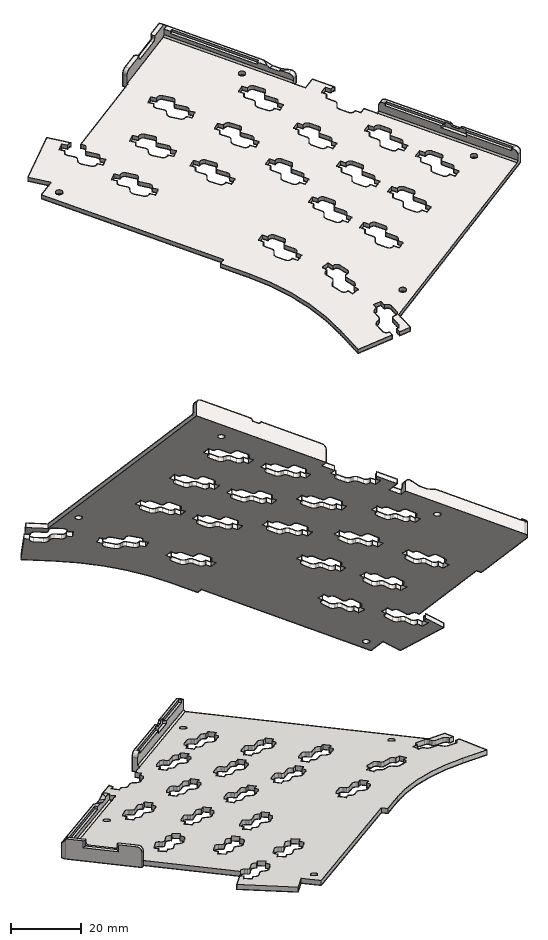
import cadquery as cq
import math

plate_thickness = 1.5
plate_left, plate_right = 9.9, 122.9
plate_front, plate_back = 15.7, 90.3

rows_per_column = 3
row_span = 34.0
row_pitch = row_span / (rows_per_column - 1)
column_pitch = 18.0
pad_margin = 0.27
key_width = column_pitch + 2 * pad_margin
key_depth = row_pitch + 2 * pad_margin
socket_shift = (2.6, 5.0)

outer_column = (29.6, 26.4, 10)
column_fronts = [
    outer_column,
    (46.2, 41.5, 4),
    (64.4, 51.7, 0),
    (82.6, 43.2, 0),
    (100.5, 40.5, 0),
]
center_column = 2
pinky_stagger = 7.5

fan_x, fan_y = 77.5, -54.4
fan_edge_radius = 68.1
fan_step = 15
thumb_keys = 3

screw_diameter = 2.0
screw_holes = [(36.5, 87.3), (110.7, 87.3), (119.1, 28.1), (13.9, 19.0)]

wall_outer_y, wall_inner_y = 92.5, 90.9
wall_outer_x, wall_inner_x = 8.2, 9.6
left_wall_height = 6.2
left_wall_front = 68.3
back_left_height, back_left_end = 4.2, 51.1
back_right_height, back_right_start = 5.8, 78.3
wall_corner_radius = 1.7
wall_end_radius = 1.5
lip_step_size = 0.83
foot_chamfer = wall_inner_y - plate_back
overlap = 0.6


def turned(origin, degrees, offset):
    """Point at `offset` from `origin`, in axes turned by `degrees`."""
    c = math.cos(math.radians(degrees))
    s = math.sin(math.radians(degrees))
    return (origin[0] + c * offset[0] - s * offset[1], origin[1] + s * offset[0] + c * offset[1])


def rounded_outline(corners):
    """Closed wire through (x, y, corner radius) corners; radius 0 stays sharp."""
    wire = None
    for i, (x, y, radius) in enumerate(corners):
        here = cq.Vector(x, y)
        to_last = (cq.Vector(*corners[i - 1][:2]) - here).normalized()
        to_next = (cq.Vector(*corners[(i + 1) % len(corners)][:2]) - here).normalized()
        half_angle = to_last.getAngle(to_next) / 2
        reach = radius / math.tan(half_angle)
        start, end = here + to_last * reach, here + to_next * reach
        wire = wire.lineTo(start.x, start.y) if wire else cq.Workplane("XY").moveTo(start.x, start.y)
        if radius:
            bisector = (to_last + to_next).normalized()
            middle = here + bisector * (radius / math.sin(half_angle) - radius)
            wire = wire.threePointArc((middle.x, middle.y), (end.x, end.y))
    return wire.close()


def block(x0, x1, y0, y1, z0, z1):
    return cq.Workplane("XY").box(x1 - x0, y1 - y0, z1 - z0, centered=False).translate((x0, y0, z0))


def key_corner(key, side, end):
    """Corner of a key's outline; `side` and `end` are -1 or 1 along its width and depth."""
    x, y, lean = key
    return turned((x, y), lean, (side * key_width / 2, end * key_depth / 2))


columns = []
for x, y, lean in column_fronts:
    column = [(*turned((x, y), lean, (0, row * row_pitch)), lean) for row in range(rows_per_column)]
    columns.append(column)

outer_x, outer_y, outer_lean = outer_column
pinky_key = (*turned((outer_x, outer_y), outer_lean, (-column_pitch, pinky_stagger)), outer_lean)
back_key = columns[center_column][-1]

fan_radius = fan_edge_radius + key_depth / 2
thumbs = []
for i in range(thumb_keys):
    lean = -i * fan_step
    thumbs.append((*turned((fan_x, fan_y), lean, (0, fan_radius)), lean))

all_keys = [key for column in columns for key in column] + [pinky_key] + thumbs


def pinky_pad():
    corners = [key_corner(pinky_key, *c) for c in ((-1, -1), (1, -1), (1, 1), (-1, 1))]
    return cq.Workplane("XY").polyline(corners).close().extrude(plate_thickness)


def back_pad():
    """Left half of the back key; the socket opening takes up the rest of its edge."""
    middle, front, _ = back_key
    left, back = key_corner(back_key, -1, 1)
    return block(left, middle, front, back, 0, plate_thickness)


def thumb_pad():
    """Thumb fan with its concave front edge."""
    first, last = thumbs[0], thumbs[-1]
    fan = (fan_x, fan_y)
    arc_middle = turned(fan, last[2] / 2, (0, fan_edge_radius))
    arc_end = turned(fan, last[2], (0, fan_edge_radius))
    return (
        cq.Workplane("XY")
        .moveTo(*key_corner(first, -1, 1))
        .lineTo(*key_corner(first, -1, -1))
        .lineTo(fan_x, fan_y + fan_edge_radius)
        .threePointArc(arc_middle, arc_end)
        .lineTo(*key_corner(last, 1, -1))
        .lineTo(*key_corner(last, 1, 1))
        .lineTo(*key_corner(last, -1, 1))
        .close()
        .extrude(plate_thickness)
    )


def socket_opening():
    """Two offset lobes with a contact tab at each end, around the socket centre."""
    lobe_end, tab_end = 5.1, 6.9
    corners = [
        (-tab_end, 0.0, 0), (-lobe_end, 0.0, 0),
        (-lobe_end, -1.5, 1.3), (-1.0, -1.5, 1.2),
        (0.0, -3.8, 1.5), (lobe_end, -3.8, 1.3),
        (lobe_end, -2.3, 0), (tab_end, -2.3, 0),
        (tab_end, 0.1, 0), (lobe_end, 0.1, 0),
        (lobe_end, 1.5, 1.3), (0.3, 1.5, 0.6),
        (0.0, 4.0, 1.0), (-lobe_end, 4.0, 1.3),
        (-lobe_end, 2.5, 0), (-tab_end, 2.5, 0),
    ]
    return rounded_outline(corners).extrude(plate_thickness)


plate = block(plate_left, plate_right, plate_front, plate_back, 0, plate_thickness)
plate = plate.union(pinky_pad()).union(back_pad()).union(thumb_pad())

opening = socket_opening()
for x, y, lean in all_keys:
    place = turned((x, y), lean, socket_shift)
    plate = plate.cut(opening.rotate((0, 0, 0), (0, 0, 1), lean).translate((*place, 0)))

screws = cq.Workplane("XY").pushPoints(screw_holes).circle(screw_diameter / 2).extrude(plate_thickness)
plate = plate.cut(screws)


def back_wall(start, end, height):
    """Upright wall along the back edge, with a bevelled foot on the plate."""
    wall = block(start, end, wall_inner_y, wall_outer_y, 0, height)
    foot = (
        cq.Workplane("YZ", origin=(start, 0, 0))
        .moveTo(plate_back - overlap, 0)
        .lineTo(wall_inner_y, 0)
        .lineTo(wall_inner_y, plate_thickness + foot_chamfer)
        .lineTo(plate_back, plate_thickness)
        .lineTo(plate_back - overlap, plate_thickness)
        .close()
        .extrude(end - start)
    )
    return wall, foot


def lip_step(start, end, height):
    """Step cut along the inner top edge of a back wall."""
    return block(start, end, wall_inner_y, wall_inner_y + lip_step_size, height - lip_step_size, height)


def trapezoid(plane, top_width, floor_width, depth):
    """Notch profile that hangs down from the plane's origin."""
    half_top, half_floor = top_width / 2, floor_width / 2
    points = [(-half_top, 0), (-half_floor, -depth), (half_floor, -depth), (half_top, 0)]
    return plane.polyline(points).close()


def back_left_wall():
    step_start, step_end = 11.7, 39.4
    notch_center = 44.9
    inner_top, inner_floor, inner_depth = 4.4, 3.1, 0.5
    outer_top, outer_floor, outer_depth = 8.7, 2.7, 0.9
    wall, foot = back_wall(wall_inner_x, back_left_end, back_left_height)
    wall = wall.edges("|Y and >X and >Z").fillet(wall_end_radius)
    wall = wall.cut(lip_step(step_start, step_end, back_left_height))

    inner_plane = cq.Workplane("XZ", origin=(notch_center, wall_inner_y, back_left_height))
    inner_profile = trapezoid(inner_plane, inner_top, inner_floor, inner_depth)
    outer_plane = inner_profile.workplane(offset=wall_inner_y - wall_outer_y)
    notch = trapezoid(outer_plane, outer_top, outer_floor, outer_depth).loft(ruled=True)
    return wall.cut(notch).union(foot)


def back_right_wall():
    step_inset = 2.0
    pocket_center, pocket_depth = 102.4, 1.7
    pocket_inner, pocket_outer = 8.1, 6.8
    skin = 0.6
    gap_top, gap_floor, gap_depth = 3.5, 2.2, 0.8
    wall, foot = back_wall(back_right_start, plate_right, back_right_height)
    wall = wall.edges("|Y and >Z").fillet(wall_end_radius)
    wall = wall.cut(lip_step(back_right_start + step_inset, plate_right - step_inset, back_right_height))

    pocket = (
        cq.Workplane("XY", origin=(pocket_center, 0, back_right_height - pocket_depth))
        .moveTo(-pocket_inner / 2, wall_inner_y)
        .lineTo(pocket_inner / 2, wall_inner_y)
        .lineTo(pocket_outer / 2, wall_outer_y - skin)
        .lineTo(-pocket_outer / 2, wall_outer_y - skin)
        .close()
        .extrude(pocket_depth)
    )

    gap_plane = cq.Workplane("XZ", origin=(pocket_center, wall_outer_y, back_right_height))
    gap = trapezoid(gap_plane, gap_top, gap_floor, gap_depth).extrude(wall_outer_y - wall_inner_y)
    return wall.cut(pocket).cut(gap).union(foot)


def left_wall():
    notch_front, notch_back = 75.7, 85.2
    notch_depth = 1.7
    notch_radius = 0.9
    notch_bevel = 0.45
    drop = left_wall_height - back_left_height
    wall = block(wall_outer_x, wall_inner_x, left_wall_front, wall_outer_y, 0, left_wall_height)
    wall = wall.edges("|X and <Y and >Z").fillet(wall_end_radius)
    wall = wall.edges("|X and >Y and >Z").chamfer(drop)

    notch = block(
        wall_outer_x, wall_inner_x, notch_front, notch_back,
        left_wall_height - notch_depth, left_wall_height + overlap,
    )
    notch = notch.edges("|X and <Z").fillet(notch_radius)
    wall = wall.cut(notch)

    bevel = (
        cq.Workplane("YZ", origin=(wall_outer_x, 0, 0))
        .moveTo(notch_front - notch_bevel, left_wall_height + overlap)
        .lineTo(notch_front - notch_bevel, left_wall_height - notch_depth - notch_bevel)
        .lineTo(notch_back + notch_bevel, left_wall_height - notch_depth - notch_bevel)
        .lineTo(notch_back + notch_bevel, left_wall_height + overlap)
        .close()
        .extrude(notch_bevel, taper=45)
    )
    return wall.cut(bevel)


def left_foot():
    """Strip of plate that carries the left wall."""
    return block(wall_inner_x, plate_left, left_wall_front, plate_back, 0, plate_thickness)


def corner_rounding():
    """Material outside the rounded vertical corner where the left and back walls meet."""
    center_x, center_y = wall_outer_x + wall_corner_radius, wall_outer_y - wall_corner_radius
    round_post = cq.Workplane("XY").center(center_x, center_y).circle(wall_corner_radius)
    square = block(wall_outer_x, center_x, center_y, wall_outer_y, 0, left_wall_height)
    return square.cut(round_post.extrude(left_wall_height))


walls = left_wall().union(back_left_wall()).cut(corner_rounding())

result = plate.union(left_foot()).union(walls).union(back_right_wall()).clean()